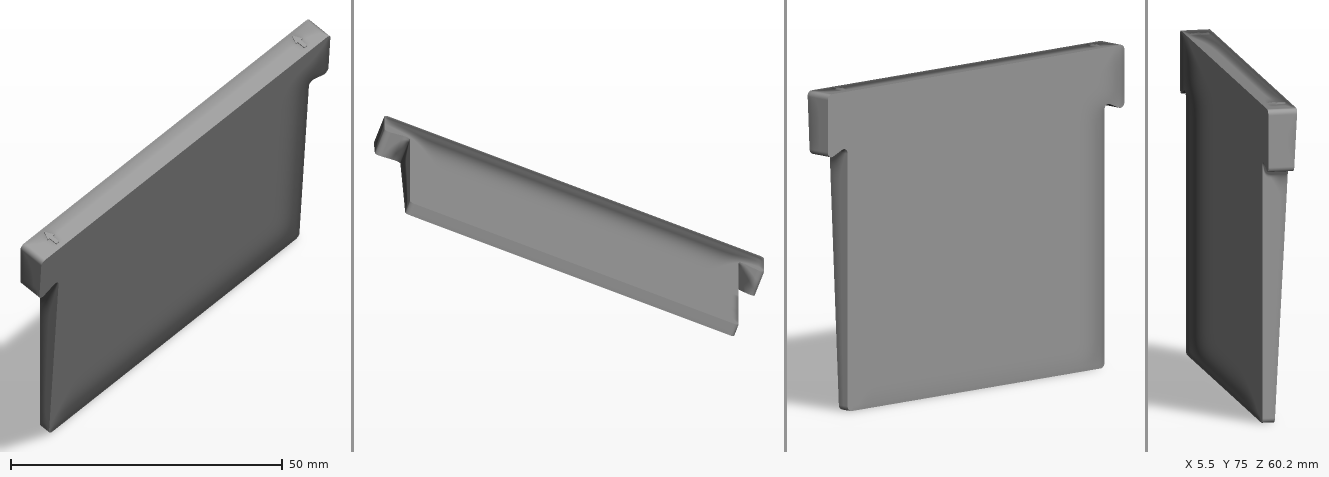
import cadquery as cq
import math

head_width = 75.0
plate_height = 60.0
top_thickness = 5.5
taper_angle = 3.0
corner_radius = 1.0

overhang = 5.0
hook_depth = 12.3
ledge_angle = 23.0

mark_height = 0.2
arrow_tip_x = 0.75
arrow_head_length = 1.9
arrow_length = 3.6
arrow_head_width = 1.7
arrow_shaft_width = 0.75
arrow_edge_distance = 5.3

half_head = head_width / 2
half_stem = half_head - overhang
hook_z = plate_height - hook_depth
ledge_z = hook_z + overhang * math.tan(math.radians(ledge_angle))
bottom_thickness = top_thickness - plate_height * math.tan(math.radians(taper_angle))


def t_plate():
    """T-shaped plate of full thickness, with every outline corner rounded."""
    right_side = [
        (half_stem, 0),
        (half_stem, ledge_z),
        (half_head, hook_z),
        (half_head, plate_height),
    ]
    left_side = [(-y, z) for y, z in reversed(right_side)]
    plate = cq.Workplane("YZ").polyline(right_side + left_side).close().extrude(top_thickness)
    return plate.edges("|X").fillet(corner_radius)


def wedge():
    """Full-width wedge, flat at X = 0 and thinning downwards on the +X side."""
    section = [
        (0, 0),
        (bottom_thickness, 0),
        (top_thickness, plate_height),
        (0, plate_height),
    ]
    return cq.Workplane("XZ").polyline(section).close().extrude(half_head, both=True)


def arrow(center_y):
    """Raised arrow on the top face, symmetric about center_y."""
    neck_x = arrow_tip_x + arrow_head_length
    tail_x = arrow_tip_x + arrow_length
    half_tip = arrow_head_width / 2
    half_shaft = arrow_shaft_width / 2
    outline = [
        (arrow_tip_x, 0),
        (neck_x, -half_tip),
        (neck_x, -half_shaft),
        (tail_x, -half_shaft),
        (tail_x, half_shaft),
        (neck_x, half_shaft),
        (neck_x, half_tip),
    ]
    top_face = cq.Workplane("XY", origin=(0, center_y, plate_height))
    return top_face.polyline(outline).close().extrude(mark_height)


result = t_plate().intersect(wedge())
for side in (-1, 1):
    result = result.union(arrow(side * (half_head - arrow_edge_distance)))